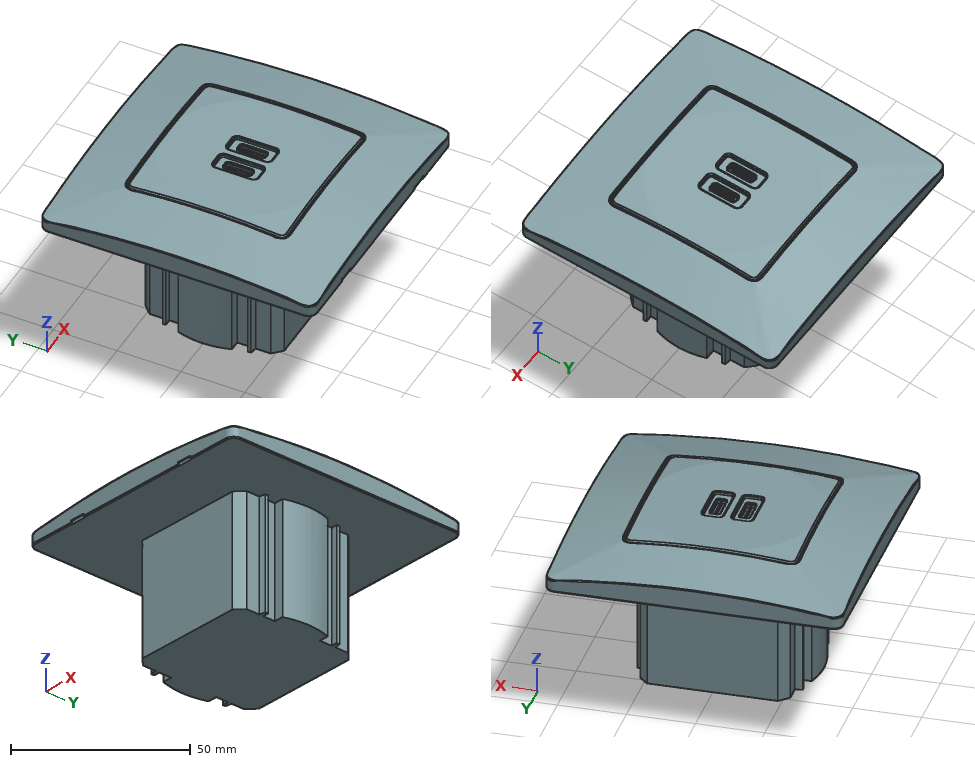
import cadquery as cq
import math

total_height = 47.9
plate_half = 43.0
plate_corner_radius = 2.9

side_fractions = (0, 0.25, 0.5, 0.75, 0.9, 1)

plate_bottom = 37.7
bottom_chamfer_run = 0.3
bottom_chamfer_rise = 0.4
rim_inset = 0.2
rim_rise = 0.35
rim_middle = 44.3
rim_corner = 41.6
window_half = 25.6
window_corner_radius = 2.6
window_middle = 47.8
window_corner = 46.7
window_bevel_run = 0.35
window_bevel_drop = 0.35
groove_floor = 45.75

notch_inner = 19.8
notch_outer = 25.0
notch_height = 1.1
notch_depth = 0.4

insert_half = 24.85
insert_corner_radius = 1.9
disc_radius = 24.9
insert_chamfer = 0.4
corner_reach = 36.1
corner_slope = 0.12

socket_offset = 4.3
pocket_half_width = 2.7
pocket_half_length = 6.6
pocket_corner_radius = 1.0
pocket_wall_run = 0.3
pocket_wall_depth = 0.5
pocket_bevel_run = 0.4
pocket_bevel_depth = 0.3
shell_half_width = 1.6
shell_half_length = 4.5
shell_radius = 1.0
shell_depth = 0.5
shell_wall = 0.35
cavity_depth = 0.9
tongue_half_width = 0.2
tongue_half_length = 3.5

box_half = 21.8
box_corner_reach = 28.8
bulge_radius = 26.4
bulge_half_width = 8.4
bulge_flat_half = 0.9
rib_face = 23.9
rib_inner = 12.8
rib_outer_tip = 13.85
rib_outer_root = 14.2


def arched_ring(half, radius, z_middle, z_corner):
    """Closed rounded-square wire of two smooth halves whose sides arch from z_corner to z_middle."""
    straight_half = half - radius
    bend = radius * math.sqrt(0.5)

    def side_height(fraction):
        return z_middle - (z_middle - z_corner) * fraction**2

    side = [(f * straight_half, -half, side_height(f)) for f in side_fractions]
    lower_corner = (straight_half + bend, -straight_half - bend, z_corner)
    upwards = [(-y, -x, z) for x, y, z in reversed(side)]
    quarter = side + [lower_corner] + upwards
    half_ring = quarter + [(x, -y, z) for x, y, z in reversed(quarter[:-1])]
    edges = []
    for sign in (1, -1):
        points = [cq.Vector(sign * x, sign * y, z) for x, y, z in half_ring]
        along_side = cq.Vector(sign, 0, 0)
        edges.append(cq.Edge.makeSpline(points, tangents=[along_side, -along_side]))
    return cq.Wire.assembleEdges(edges)


def rounded_block(half_x, half_y, radius, bottom, top):
    """Upright block with rounded corners, centred on the Z axis."""
    block = cq.Workplane("XY").workplane(offset=bottom).rect(2 * half_x, 2 * half_y)
    return block.extrude(top - bottom).edges("|Z").fillet(radius)


def make_bulge():
    """Arched top of the frame with the window groove, slightly wider than the plate."""
    bevel_half = window_half - window_bevel_run
    bevel_radius = window_corner_radius - window_bevel_run
    outer_half = plate_half + rim_inset
    outer_radius = plate_corner_radius + rim_inset
    outer_drop = 2 * rim_rise
    rings = [
        arched_ring(outer_half, outer_radius, plate_bottom, plate_bottom),
        arched_ring(outer_half, outer_radius, rim_middle - outer_drop, rim_corner - outer_drop),
        arched_ring(plate_half - rim_inset, plate_corner_radius - rim_inset, rim_middle, rim_corner),
        arched_ring(window_half, window_corner_radius, window_middle, window_corner),
        arched_ring(
            bevel_half,
            bevel_radius,
            window_middle - window_bevel_drop,
            window_corner - window_bevel_drop,
        ),
        arched_ring(bevel_half, bevel_radius, groove_floor, groove_floor),
    ]
    return cq.Workplane(obj=cq.Solid.makeLoft(rings, True))


def make_frame():
    plate = rounded_block(plate_half, plate_half, plate_corner_radius, plate_bottom, total_height)
    plate = plate.faces("<Z").chamfer(bottom_chamfer_rise, bottom_chamfer_run)
    return plate.intersect(make_bulge())


def make_notches():
    width = notch_outer - notch_inner
    middle = (notch_outer + notch_inner) / 2
    return (
        cq.Workplane("XY")
        .workplane(offset=plate_bottom)
        .pushPoints([(-middle, -plate_half), (middle, -plate_half)])
        .rect(width, 2 * notch_depth)
        .extrude(notch_height)
    )


def make_insert():
    block = rounded_block(insert_half, insert_half, insert_corner_radius, groove_floor, total_height)
    corner_drop = (corner_reach - disc_radius) * corner_slope
    dome = (
        cq.Workplane("XZ")
        .moveTo(0, plate_bottom)
        .lineTo(corner_reach, plate_bottom)
        .lineTo(corner_reach, total_height - corner_drop)
        .lineTo(disc_radius, total_height)
        .lineTo(0, total_height)
        .close()
        .revolve(360, (0, 0, 0), (0, 1, 0))
    )
    insert = block.intersect(dome)
    return insert.edges("not(|Z or <Z or %CIRCLE)").chamfer(insert_chamfer)


def pocket_flare(bottom, depth, bottom_margin, run):
    """Part of the pocket that widens by run over its depth, starting bottom_margin outside the floor."""

    def outline(margin):
        width = 2 * (pocket_half_width + margin)
        length = 2 * (pocket_half_length + margin)
        return cq.Sketch().rect(width, length).vertices().fillet(pocket_corner_radius + margin)

    top_outline = outline(bottom_margin + run).moved(cq.Location(cq.Vector(0, 0, depth)))
    return cq.Workplane("XY", origin=(0, 0, bottom)).placeSketch(outline(bottom_margin), top_outline).loft()


def make_socket():
    """Volume to remove for one socket, centred on the Z axis."""
    bevel_bottom = total_height - pocket_bevel_depth
    floor = bevel_bottom - pocket_wall_depth
    pocket = pocket_flare(floor, pocket_wall_depth, 0, pocket_wall_run)
    bevel = pocket_flare(bevel_bottom, pocket_bevel_depth, pocket_wall_run, pocket_bevel_run)
    shell_floor = floor - shell_depth
    shell = rounded_block(shell_half_width, shell_half_length, shell_radius, shell_floor, floor)
    cavity = rounded_block(
        shell_half_width - shell_wall,
        shell_half_length - shell_wall,
        shell_radius - shell_wall,
        shell_floor - cavity_depth,
        shell_floor,
    )
    tongue = (
        cq.Workplane("XY")
        .workplane(offset=shell_floor - cavity_depth)
        .rect(2 * tongue_half_width, 2 * tongue_half_length)
        .extrude(cavity_depth)
    )
    return pocket.union(bevel).union(shell).union(cavity.cut(tongue))


def make_side_bulge():
    """Round bulge with a small flat crown on the +X side of the box."""

    def on_circle(y):
        return math.sqrt(bulge_radius**2 - y**2)

    arc_middle = (bulge_half_width + bulge_flat_half) / 2
    return (
        cq.Workplane("XY")
        .moveTo(0, -bulge_half_width)
        .lineTo(on_circle(bulge_half_width), -bulge_half_width)
        .threePointArc((on_circle(arc_middle), -arc_middle), (on_circle(bulge_flat_half), -bulge_flat_half))
        .lineTo(on_circle(bulge_flat_half), bulge_flat_half)
        .threePointArc((on_circle(arc_middle), arc_middle), (on_circle(bulge_half_width), bulge_half_width))
        .lineTo(0, bulge_half_width)
        .close()
        .extrude(plate_bottom)
    )


def make_rib():
    """Upright rib on the +X, +Y part of the box, tapered on its outer flank."""
    return (
        cq.Workplane("XY")
        .polyline(
            [
                (0, rib_inner),
                (rib_face, rib_inner),
                (rib_face, rib_outer_tip),
                (box_half, rib_outer_root),
                (0, rib_outer_root),
            ]
        )
        .close()
        .extrude(plate_bottom)
    )


def make_box():
    box = cq.Workplane("XY").rect(2 * box_half, 2 * box_half).extrude(plate_bottom)
    box = box.intersect(cq.Workplane("XY").circle(box_corner_reach).extrude(plate_bottom))
    rib = make_rib()
    side = make_side_bulge().union(rib).union(rib.mirror("XZ"))
    return box.union(side).union(side.mirror("YZ"))


result = make_frame().cut(make_notches()).union(make_insert()).union(make_box())
for socket_x in (-socket_offset, socket_offset):
    result = result.cut(make_socket().translate((socket_x, 0, 0)))